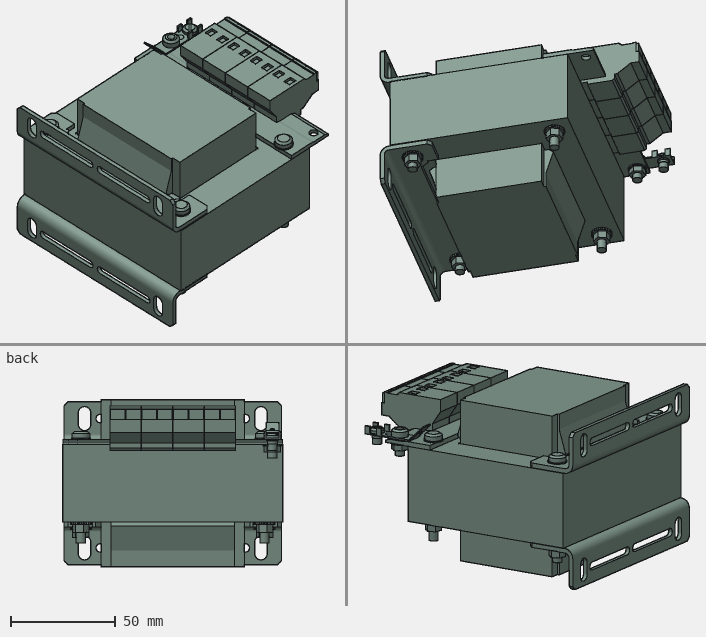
import cadquery as cq
import math


overall_depth = 122

core_width, core_depth, core_height = 105.0, 87.6, 37.2
core_top = core_height / 2
core_front = -core_depth / 2
window_width, window_depth = 70.3, 53.0
coil_width, coil_depth, coil_height = 68.3, 52.0, 79.8
bobbin_width = 58.8
bobbin_depth = 53.9
flare_depth = 61.2
flare_foot_depth = 57.1
flare_start_z = 32.2
flare_end_z = 20.4

sheet = 2.3
plate_top = core_top + sheet
bracket_width = 104.0
bracket_corner = 2.0
flange_face = core_front - 5.1
flange_sheet = 2.1
flange_top = 38.9
bend_radius = 4.6
tab_rear = -23.8
tab_inner_x = 38.3
tab_step_y = -29.2
relief_outer_x = 37.0
relief_inner_x = 34.2
relief_y = -33.3
slot_z = 30.9
tall_slot_x, tall_slot_length, tall_slot_width = 42.1, 11.3, 5.9
long_slot_x, long_slot_length, long_slot_width = 19.0, 35.1, 3.9

rear_plate_width = core_width - 0.1
rear_plate_front = 31.6
rear_plate_back = 56.6
jog_front, jog_back, jog_drop = 45.4, 46.7, 0.4
rear_edge_length, rear_edge_drop = 2.3, 0.9
plate_hole_x, plate_hole_y, plate_hole_diameter = 47.6, 51.6, 4.4

block_count = 4
block_pitch = 15.0
block_gap = 0.1
block_back = flange_face + overall_depth
block_front = 39.9
block_top = 37.0
block_underside = 24.3
ridge_front, ridge_top, ridge_bevel = 70.2, 36.0, 0.4
shelf_front, shelf_top, shelf_bevel = 64.5, 35.6, 1.3
front_slope_top = 30.9
rear_slope_back, rear_slope_front, rear_slope_bottom = 69.0, 62.5, 19.3
foot_front, toe_bottom = 44.4, 17.0
hook_front, hook_back, hook_bottom, hook_bevel = 47.6, 60.9, 15.7, 1.0
pole_pitch = block_pitch / 2
pole_count = 2 * block_count
opening_width, opening_depth_y, opening_y, opening_sink = 3.5, 4.4, 57.2, 1.5
label_gap = 0.5
label_bottom, label_top = 30.5, 35.3
label_front, label_back = block_back - 1.5, block_back - 0.2

thread_diameter = 4.5
bolt_x, bolt_y = 43.8, 35.0
bolt_end_z = -28.5
bolt_head_diameter, bolt_head_height = 8.4, 3.8
head_chamfer_width, head_chamfer_height = 1.2, 1.0
lock_washer_diameter, lock_washer_height = 9.3, 0.6
tooth_count, tooth_depth = 24, 0.5
nut_flats, nut_height = 7.0, 4.9
nut_flange_diameter, nut_flange_height = 10.0, 1.1
nut_turn = 18

strip_width, strip_sheet = 8.0, 0.7
strip_x = -plate_hole_x
strip_bottom = plate_top - 0.1
strip_top = strip_bottom + strip_sheet
strip_back, strip_front = 68.8, 43.9
tab_width, tab_reach, tab_angle, tab_sheet = 6.1, 11.0, 45, 0.6
tab_root_reach = 2.3
tab_hole_diameter, tab_hole_reach = 2.2, 5.9
dimple_y, dimple_diameter, dimple_sink = 57.7, 3.5, 0.6
ear_length, ear_top, ear_sheet = 2.6, 24.8, 1.0
ear_front = 59.8
clamp_screw_y, clamp_head_diameter, clamp_head_top = 64.5, 7.3, 23.8
clamp_slot_width, clamp_slot_sink, clamp_slot_angle = 1.0, 1.1, -45
clamp_end_z = 15.7
collar_diameter, collar_height = 5.9, 0.9
sleeve_diameter, sleeve_end_z = 4.9, 18.8
earth_head_diameter, earth_head_top = 8.0, 25.3
earth_recess_diameter, earth_recess_sink = 3.5, 1.8
earth_nut_height, earth_nut_flange, earth_nut_flange_height = 3.7, 8.8, 0.7
earth_bolt_end_z = 12.0


def block(width, depth, height):
    """Box centred on the origin."""
    return cq.Workplane("XY").box(width, depth, height)


def cylinder(x, y, bottom, top, diameter):
    """Upright cylinder between two heights."""
    return cq.Workplane("XY", origin=(x, y, bottom)).circle(diameter / 2).extrude(top - bottom)


def side_profile(points, width, x_center=0):
    """Closed (Y, Z) outline extruded symmetrically along X."""
    outline = cq.Workplane("YZ", origin=(x_center, 0, 0)).polyline(points).close()
    return outline.extrude(width / 2, both=True)


def toothed_disc(x, y, bottom, height, diameter):
    """Serrated disc whose rim alternates between tip and root radius."""
    points = []
    for i in range(2 * tooth_count):
        radius = diameter / 2 - (i % 2) * tooth_depth
        angle = math.pi * i / tooth_count
        points.append((radius * math.cos(angle), radius * math.sin(angle)))
    return cq.Workplane("XY", origin=(x, y, bottom)).polyline(points).close().extrude(height)


def bolt_head(x, y, bottom, top, diameter):
    """Round head with a bevelled upper rim."""
    head = cylinder(x, y, bottom, top, diameter)
    return head.faces(">Z").chamfer(head_chamfer_height, head_chamfer_width)


def flange_nut(x, y, seat, height, flange_diameter, flange_height):
    """Hexagon nut hanging below its serrated flange."""
    flange = toothed_disc(x, y, seat - flange_height, flange_height, flange_diameter)
    hexagon = cq.Workplane("XY").polygon(6, nut_flats, circumscribed=True).extrude(-height)
    hexagon = hexagon.rotate((0, 0, 0), (0, 0, 1), nut_turn).translate((x, y, seat))
    return flange.union(hexagon)


def conical_recess(x, y, top, diameter, sink):
    """Downward-pointing cone used to countersink a top face."""
    base = cq.Vector(x, y, top)
    cone = cq.Solid.makeCone(diameter / 2, 0, sink, pnt=base, dir=cq.Vector(0, 0, -1))
    return cq.Workplane(cone)


def make_core():
    window = block(window_width, window_depth, core_height)
    return block(core_width, core_depth, core_height).cut(window)


def make_coil():
    bobbin = block(bobbin_width, bobbin_depth, coil_height)
    coil = block(coil_width, coil_depth, coil_height).union(bobbin)
    lip = [
        (0, core_top),
        (flare_foot_depth / 2, core_top),
        (flare_depth / 2, flare_end_z),
        (bobbin_depth / 2, flare_start_z),
        (0, flare_start_z),
    ]
    for y_side in (-1, 1):
        for z_side in (-1, 1):
            points = [(y_side * y, z_side * z) for y, z in lip]
            coil = coil.union(side_profile(points, bobbin_width))
    return coil


def bracket_plan():
    """Bracket outline from above, cut back around the bobbin."""
    half = bracket_width / 2
    right_side = [
        (half, flange_face),
        (half, tab_rear - bracket_corner),
        (half - bracket_corner, tab_rear),
        (tab_inner_x, tab_rear),
        (tab_inner_x, tab_step_y),
        (relief_outer_x, tab_step_y),
        (relief_inner_x, relief_y),
    ]
    left_side = [(-x, y) for x, y in reversed(right_side)]
    plan = cq.Workplane("XY", origin=(0, 0, core_top)).polyline(right_side + left_side).close()
    return plan.extrude(flange_top - core_top)


def bracket_slots():
    """Four fixing slots through the upright flange."""
    flange_plane = cq.Workplane("XZ", origin=(0, flange_face + bend_radius, slot_z))
    tall = flange_plane.pushPoints([(-tall_slot_x, 0), (tall_slot_x, 0)])
    tall = tall.slot2D(tall_slot_length, tall_slot_width, 90).extrude(2 * bend_radius)
    long = flange_plane.pushPoints([(-long_slot_x, 0), (long_slot_x, 0)])
    long = long.slot2D(long_slot_length, long_slot_width).extrude(2 * bend_radius)
    return tall.union(long)


def make_upper_bracket():
    inner_face = flange_face + flange_sheet
    bend_y = flange_face + bend_radius
    bend_z = core_top + bend_radius
    outer_mid = bend_radius * math.sqrt(0.5)
    inner_mid_y = (bend_y - inner_face) * math.sqrt(0.5)
    inner_mid_z = (bend_z - plate_top) * math.sqrt(0.5)
    bracket = (
        cq.Workplane("YZ")
        .moveTo(tab_rear, core_top)
        .lineTo(bend_y, core_top)
        .threePointArc((bend_y - outer_mid, bend_z - outer_mid), (flange_face, bend_z))
        .lineTo(flange_face, flange_top)
        .lineTo(inner_face, flange_top)
        .lineTo(inner_face, bend_z)
        .threePointArc((bend_y - inner_mid_y, bend_z - inner_mid_z), (bend_y, plate_top))
        .lineTo(tab_rear, plate_top)
        .close()
        .extrude(bracket_width / 2, both=True)
    )
    top_corners = bracket.edges("|Y and >Z")
    bracket = top_corners.chamfer(bracket_corner).intersect(bracket_plan())
    return bracket.cut(bracket_slots())


def make_rear_plate():
    """Terminal plate with a slight step down and a sloping rear edge."""
    low_top = plate_top - jog_drop
    plate = side_profile(
        [
            (rear_plate_front, core_top),
            (rear_plate_back, core_top),
            (rear_plate_back, low_top - rear_edge_drop),
            (rear_plate_back - rear_edge_length, low_top),
            (jog_back, low_top),
            (jog_front, plate_top),
            (rear_plate_front, plate_top),
        ],
        rear_plate_width,
    )
    return plate.cut(cylinder(plate_hole_x, plate_hole_y, core_top, plate_top, plate_hole_diameter))


def make_terminal_blocks():
    outline = [
        (block_back, block_underside),
        (block_back, label_bottom),
        (label_front, label_bottom),
        (label_front, ridge_top),
        (ridge_front, ridge_top),
        (ridge_front - ridge_bevel, shelf_top),
        (shelf_front, shelf_top),
        (shelf_front - shelf_bevel, block_top),
        (block_front, block_top),
        (block_front, front_slope_top),
        (foot_front, block_underside),
        (foot_front, toe_bottom),
        (hook_front, toe_bottom),
        (hook_front, hook_bottom),
        (hook_back - hook_bevel, hook_bottom),
        (hook_back, hook_bottom + hook_bevel),
        (hook_back, rear_slope_bottom),
        (rear_slope_front, rear_slope_bottom),
        (rear_slope_back, block_underside),
    ]
    blocks = cq.Workplane("XY")
    for i in range(block_count):
        x = (i - (block_count - 1) / 2) * block_pitch
        blocks = blocks.union(side_profile(outline, block_pitch - block_gap, x))

    label = block(pole_pitch - label_gap, label_back - label_front, label_top - label_bottom)
    opening = block(opening_width, opening_depth_y, 2 * opening_sink)
    for i in range(pole_count):
        x = (i - (pole_count - 1) / 2) * pole_pitch
        label_center = (x, (label_front + label_back) / 2, (label_bottom + label_top) / 2)
        blocks = blocks.union(label.translate(label_center))
        blocks = blocks.cut(opening.translate((x, opening_y, block_top)))
    return blocks


def make_core_bolt(x, y, nut_seat):
    head_top = plate_top + bolt_head_height
    bolt = cylinder(x, y, bolt_end_z, plate_top, thread_diameter)
    bolt = bolt.union(bolt_head(x, y, plate_top, head_top, bolt_head_diameter))
    bolt = bolt.union(toothed_disc(x, y, plate_top, lock_washer_height, lock_washer_diameter))
    return bolt.union(flange_nut(x, y, nut_seat, nut_height, nut_flange_diameter, nut_flange_height))


def make_earth_strip():
    length = strip_back - strip_front
    strip = block(strip_width, length, strip_sheet)
    strip = strip.translate((strip_x, strip_front + length / 2, strip_bottom + strip_sheet / 2))
    strip = strip.cut(conical_recess(strip_x, dimple_y, strip_top, dimple_diameter, dimple_sink))

    ear = block(ear_sheet, ear_length, ear_top - strip_bottom)
    ear_offset = (strip_width - ear_sheet) / 2
    for x in (strip_x - ear_offset, strip_x + ear_offset):
        for front in (ear_front, strip_back - ear_length):
            strip = strip.union(ear.translate((x, front + ear_length / 2, (strip_bottom + ear_top) / 2)))

    tab = block(tab_width, tab_reach, tab_sheet).translate((0, -tab_reach / 2, tab_sheet / 2))
    root = block(strip_width, tab_root_reach, tab_sheet)
    tab = tab.union(root.translate((0, -tab_root_reach / 2, tab_sheet / 2)))
    tab = tab.cut(cylinder(0, -tab_hole_reach, 0, tab_sheet, tab_hole_diameter))
    tab = tab.rotate((0, 0, 0), (1, 0, 0), -tab_angle)
    return strip.union(tab.translate((strip_x, strip_front, strip_bottom)))


def make_clamp_screw():
    screw = cylinder(strip_x, clamp_screw_y, clamp_end_z, strip_top, thread_diameter)
    screw = screw.union(bolt_head(strip_x, clamp_screw_y, strip_bottom, clamp_head_top, clamp_head_diameter))
    screw = screw.union(cylinder(strip_x, clamp_screw_y, sleeve_end_z, strip_bottom, sleeve_diameter))
    collar = cylinder(strip_x, clamp_screw_y, strip_bottom - collar_height, strip_bottom, collar_diameter)
    collar_bevel = (collar_diameter - thread_diameter) / 2
    screw = screw.union(collar.faces("<Z").chamfer(collar_bevel))
    slot = block(2 * clamp_head_diameter, clamp_slot_width, 2 * clamp_slot_sink)
    slot = slot.rotate((0, 0, 0), (0, 0, 1), clamp_slot_angle)
    return screw.cut(slot.translate((strip_x, clamp_screw_y, clamp_head_top)))


def make_earth_bolt():
    bolt = cylinder(strip_x, plate_hole_y, earth_bolt_end_z, strip_top, thread_diameter)
    bolt = bolt.union(bolt_head(strip_x, plate_hole_y, strip_top, earth_head_top, earth_head_diameter))
    bolt = bolt.cut(
        conical_recess(strip_x, plate_hole_y, earth_head_top, earth_recess_diameter, earth_recess_sink)
    )
    nut = flange_nut(
        strip_x, plate_hole_y, core_top, earth_nut_height, earth_nut_flange, earth_nut_flange_height
    )
    return bolt.union(nut)


upper_bracket = make_upper_bracket()
result = make_core().union(make_coil())
result = result.union(upper_bracket).union(upper_bracket.mirror("XY"))
result = result.union(make_rear_plate()).union(make_terminal_blocks())
for bolt_side in (-1, 1):
    result = result.union(make_core_bolt(bolt_side * bolt_x, bolt_y, -core_top))
    result = result.union(make_core_bolt(bolt_side * bolt_x, -bolt_y, -plate_top))
result = result.union(make_earth_strip()).union(make_clamp_screw()).union(make_earth_bolt())